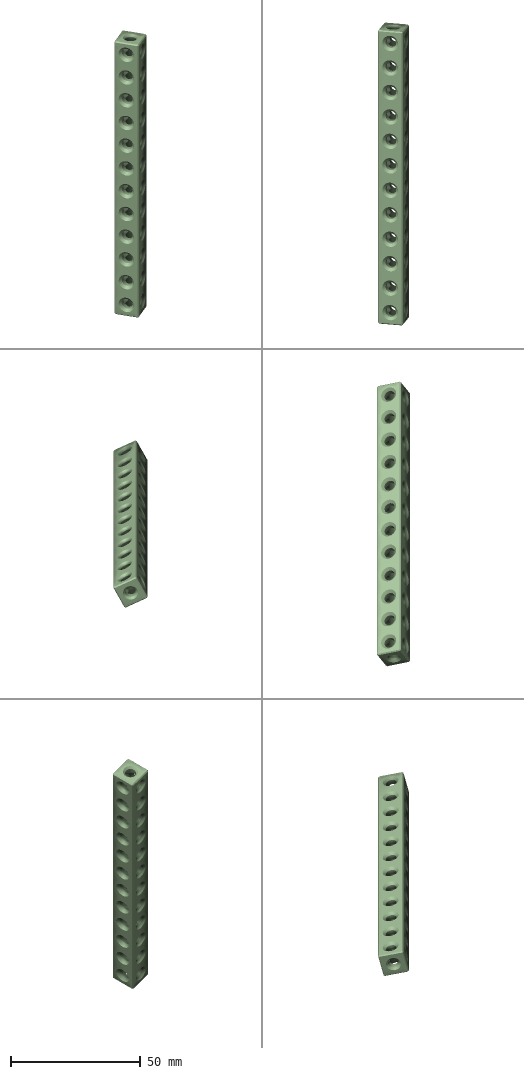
import cadquery as cq

length = 120.0
cell_count = 12
pitch = length / cell_count
width = pitch
edge_chamfer = 0.42

hole_diameter = 4.2
side_sink_diameter = 6.2
end_sink_diameter = 5.8


def countersunk_hole(depth, sink_diameter):
    """Cutter along Z, centred on the origin, with a 45 degree countersink at both ends."""
    hole_radius = hole_diameter / 2
    sink_radius = sink_diameter / 2
    half_depth = depth / 2
    sink_bottom = half_depth - (sink_radius - hole_radius)
    profile = [
        (0, -half_depth),
        (sink_radius, -half_depth),
        (hole_radius, -sink_bottom),
        (hole_radius, sink_bottom),
        (sink_radius, half_depth),
        (0, half_depth),
    ]
    return cq.Workplane("XZ").polyline(profile).close().revolve(360, (0, 0, 0), (0, 1, 0))


bar = cq.Workplane("XY").box(width, width, length).edges().chamfer(edge_chamfer)

bar = bar.cut(countersunk_hole(length, end_sink_diameter))

side_hole = countersunk_hole(width, side_sink_diameter)
hole_along_x = side_hole.rotate((0, 0, 0), (0, 1, 0), 90)
hole_along_y = side_hole.rotate((0, 0, 0), (1, 0, 0), 90)
for cell in range(cell_count):
    cell_height = (cell + 0.5) * pitch - length / 2
    bar = bar.cut(hole_along_x.translate((0, 0, cell_height)))
    bar = bar.cut(hole_along_y.translate((0, 0, cell_height)))

result = bar